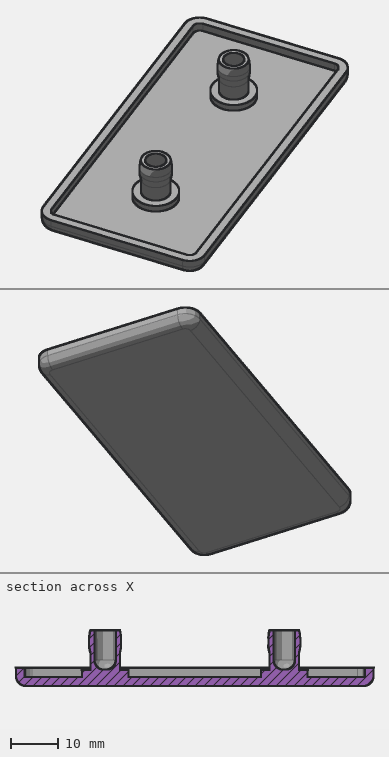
import cadquery as cq

length = 76.2
width = 38.1
rim_height = 4.0
wall = 2.0
floor = 2.0
corner_radius = 3.5
inner_corner_radius = corner_radius - wall
bottom_fillet = 2.3

peg_spacing = length / 2
disc_diameter = 10.0
disc_top = 3.5
stem_radius = 6.3 / 2
bead_radius = 6.9 / 2
stem_top = 7.0
bead_bottom = 8.85
bead_top = 10.05
peg_top = 12.0

bore_radius = 4.5 / 2
bore_depth = 8.4
bore_fillet = 2.0


def make_tray():
    """Shallow rounded tray with a filleted underside."""
    body = cq.Workplane("XY").box(width, length, rim_height, centered=(True, True, False))
    body = body.edges("|Z").fillet(corner_radius)
    body = body.faces("<Z").edges().fillet(bottom_fillet)
    pocket = (
        cq.Workplane("XY", origin=(0, 0, floor))
        .box(width - 2 * wall, length - 2 * wall, rim_height, centered=(True, True, False))
        .edges("|Z")
        .fillet(inner_corner_radius)
    )
    return body.cut(pocket)


def tangent_arc_radius(rise, drop):
    """Radius of an arc that starts along Z and moves in by drop over a height of rise."""
    return (rise**2 + drop**2) / (2 * drop)


def make_peg():
    """Base disc and stem with a bead that curves tangentially into both ends."""
    disc_bottom = floor / 2
    lower_radius = tangent_arc_radius(bead_bottom - stem_top, bead_radius - stem_radius)
    upper_radius = tangent_arc_radius(peg_top - bead_top, bead_radius - stem_radius)
    return (
        cq.Workplane("XZ")
        .moveTo(0, disc_bottom)
        .lineTo(disc_diameter / 2, disc_bottom)
        .lineTo(disc_diameter / 2, disc_top)
        .lineTo(stem_radius, disc_top)
        .lineTo(stem_radius, stem_top)
        .radiusArc((bead_radius, bead_bottom), -lower_radius)
        .lineTo(bead_radius, bead_top)
        .radiusArc((stem_radius, peg_top), -upper_radius)
        .lineTo(0, peg_top)
        .close()
        .revolve(360, (0, 0, 0), (0, 1, 0))
    )


def make_bore():
    """Cutter for the blind bore, rounded at its bottom."""
    bore_bottom = peg_top - bore_depth
    return (
        cq.Workplane("XY", origin=(0, 0, bore_bottom))
        .circle(bore_radius)
        .extrude(bore_depth)
        .faces("<Z")
        .edges()
        .fillet(bore_fillet)
    )


result = make_tray()
peg = make_peg()
bore = make_bore()
for y in (-peg_spacing / 2, peg_spacing / 2):
    result = result.union(peg.translate((0, y, 0))).cut(bore.translate((0, y, 0)))